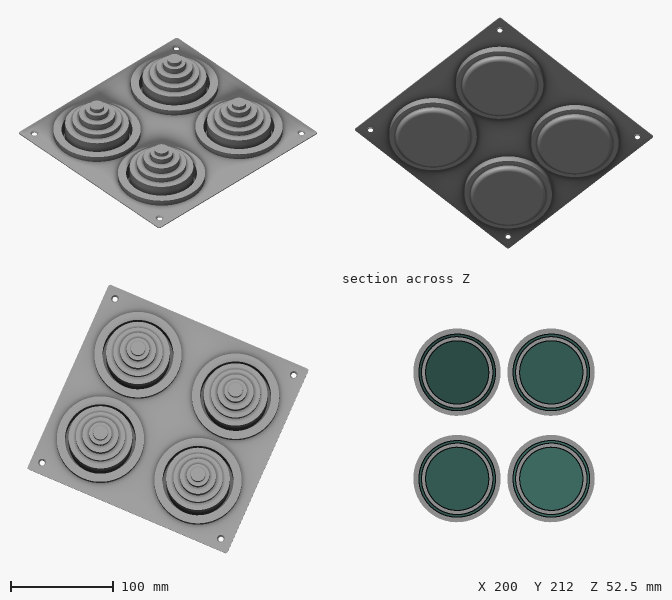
import cadquery as cq

plate_length_x = 200.0
plate_length_y = 212.0
plate_thickness = 1.0
plate_corner_radius = 2.0

screw_hole_inset = 11.25
screw_hole_diameter = 5.0
countersink_diameter = 7.8
dimple_diameter = 7.2
dimple_drop = 0.7
countersink_angle = 90.0

grommet_spacing_x = 91.5
grommet_spacing_y = 103.5

base_diameter = 73.5
base_edge_radius = 3.5
base_height = 5.0
flange_diameter = 85.0
lower_flange_thickness = 7.0
groove_diameter = 75.0
groove_height = 4.0
upper_flange_thickness = 6.0

cone_tiers = [
    (62.0, 8.0),
    (48.0, 5.25),
    (35.0, 7.0),
    (22.0, 6.0),
    (14.0, 4.25),
]

moat_outer_diameter = 69.0
moat_inner_diameter = cone_tiers[0][0]

lower_flange_top = base_height + lower_flange_thickness
groove_top = lower_flange_top + groove_height
upper_flange_top = groove_top + upper_flange_thickness
moat_depth = upper_flange_top - base_height
plate_top = groove_top
plate_bottom = plate_top - plate_thickness


def disc(diameter, bottom, height):
    """Round disc on the Z axis, standing on the given height."""
    return cq.Workplane("XY").workplane(offset=bottom).circle(diameter / 2).extrude(height)


def corner_points(spacing_x, spacing_y):
    """Four corners of a rectangle centred on the origin."""
    return [
        (side_x * spacing_x / 2, side_y * spacing_y / 2)
        for side_x in (-1, 1)
        for side_y in (-1, 1)
    ]


def make_grommet():
    """Grooved round base carrying a stepped cone inside an annular moat."""
    grommet = disc(base_diameter, 0, base_height).faces("<Z").edges().fillet(base_edge_radius)
    grommet = grommet.union(disc(flange_diameter, base_height, lower_flange_thickness))
    grommet = grommet.union(disc(groove_diameter, lower_flange_top, groove_height))
    grommet = grommet.union(disc(flange_diameter, groove_top, upper_flange_thickness))

    tier_bottom = upper_flange_top
    for diameter, height in cone_tiers:
        grommet = grommet.union(disc(diameter, tier_bottom, height))
        tier_bottom += height

    moat = (
        cq.Workplane("XY")
        .workplane(offset=upper_flange_top)
        .circle(moat_outer_diameter / 2)
        .circle(moat_inner_diameter / 2)
        .extrude(-moat_depth)
    )
    return grommet.cut(moat)


def make_plate(grommet_points):
    """Thin plate with round grommet openings and a dimpled screw hole at each corner."""
    screw_points = corner_points(
        plate_length_x - 2 * screw_hole_inset,
        plate_length_y - 2 * screw_hole_inset,
    )

    plate = (
        cq.Workplane("XY")
        .workplane(offset=plate_bottom)
        .rect(plate_length_x, plate_length_y)
        .extrude(plate_thickness)
        .edges("|Z")
        .fillet(plate_corner_radius)
    )
    openings = (
        cq.Workplane("XY")
        .workplane(offset=plate_bottom)
        .pushPoints(grommet_points)
        .circle(groove_diameter / 2)
        .extrude(plate_thickness)
    )
    dimples = (
        cq.Workplane("XY")
        .workplane(offset=plate_bottom)
        .pushPoints(screw_points)
        .circle(dimple_diameter / 2)
        .extrude(-dimple_drop)
    )
    return (
        plate.cut(openings)
        .union(dimples)
        .faces(">Z")
        .workplane(origin=(0, 0, plate_top))
        .pushPoints(screw_points)
        .cskHole(screw_hole_diameter, countersink_diameter, countersink_angle)
    )


grommet_points = corner_points(grommet_spacing_x, grommet_spacing_y)
plate = make_plate(grommet_points)
grommets = [make_grommet().translate((x, y, 0)) for x, y in grommet_points]

result = cq.Compound.makeCompound([plate.val(), *[grommet.val() for grommet in grommets]])